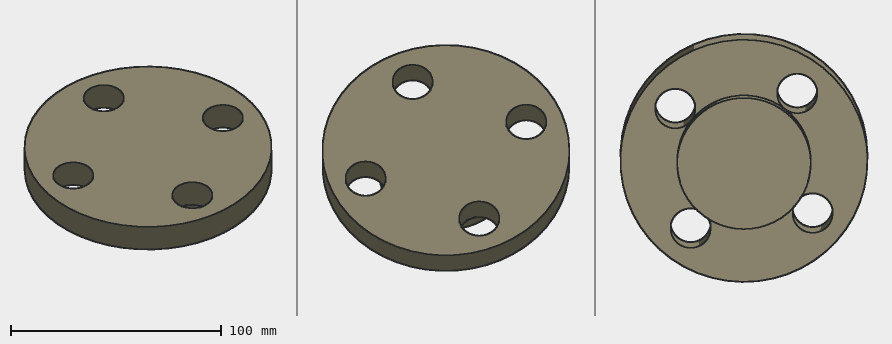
import cadquery as cq

flange_diameter = 117.35
flange_thickness = 14.22
face_diameter = 63.5
face_height = 6.35
bolt_circle_diameter = 82.55
bolt_hole_diameter = 19.05
bolt_hole_count = 4
full_turn = 360


def flange_plate():
    """Main disc, with its underside at Z = 0."""
    return cq.Workplane("XY").circle(flange_diameter / 2).extrude(flange_thickness)


def raised_face():
    """Smaller disc standing down from the underside of the plate."""
    return cq.Workplane("XY").circle(face_diameter / 2).extrude(-face_height)


def bolt_holes():
    """Cutters through the plate, evenly spaced from the +X axis."""
    return (
        cq.Workplane("XY")
        .polarArray(bolt_circle_diameter / 2, 0, full_turn, bolt_hole_count)
        .circle(bolt_hole_diameter / 2)
        .extrude(flange_thickness)
    )


result = flange_plate().union(raised_face()).cut(bolt_holes())